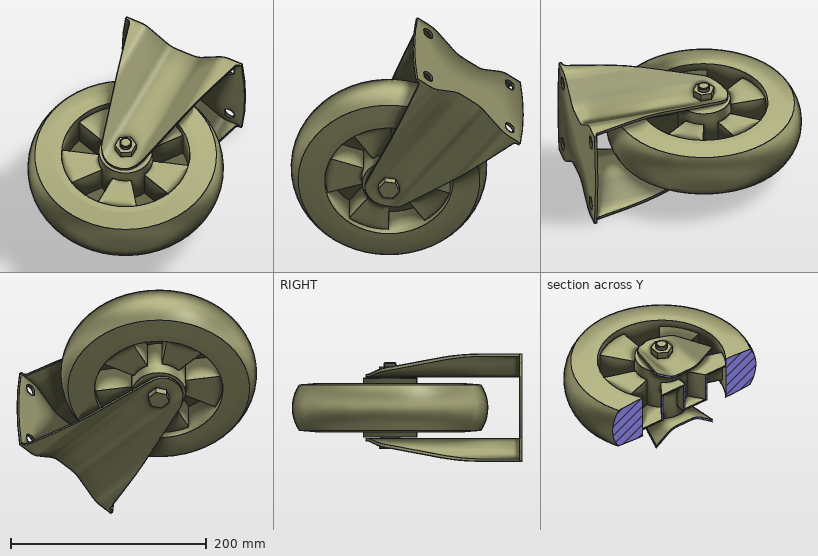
import cadquery as cq
import math


overall_length = 235.0

wheel_radius = 200.0 / 2
tread_half_width = 23.3
shoulder_radius = 92.8
rim_half_width = 25.0
rim_outer_radius = 72.8
rim_inner_radius = 131.0 / 2
hub_core_radius = 55.5 / 2
hub_end_radius = 27.3
hub_half_width = 30.0

sector_count = 10
web_half_height = 17.0
web_thickness = 2.0
web_blank_radius = (rim_inner_radius + rim_outer_radius) / 2

spacer_radius = 20.0 / 2
bolt_diameter = 12.0
bolt_top = 46.0
bolt_chamfer = 1.0
hex_across_flats = 19.0
hex_height = 7.5

sheet = 2.5
fork_depth = overall_length - wheel_radius
fork_half_height = 55.0
valley_height = 34.0
valley_half_width = 8.5
bend_radius = 20.5
bend_angle = math.radians(35)
arm_tip_radius = 24.7
arm_taper = math.radians(15)
arm_root_fillet = 4.0

plate_end_half_width = 66.0
plate_mid_half_width = 69.8
slot_spacing_x = 105.0
slot_spacing_z = 77.0
slot_width = 11.0
slot_length = 13.9


def make_web():
    """Disc folded into sectors that are open alternately to the top and to the bottom."""
    half_angle = math.radians(180 / sector_count)
    tip = web_thickness / 2 / math.sin(half_angle)
    spread = (rim_outer_radius - tip) * math.tan(half_angle)
    web = (
        cq.Workplane("XY")
        .circle(web_blank_radius)
        .extrude(web_half_height, both=True)
    )
    pocket = (
        cq.Workplane("XY")
        .workplane(offset=web_thickness - web_half_height)
        .polyline([(tip, 0), (rim_outer_radius, -spread), (rim_outer_radius, spread)])
        .close()
        .extrude(2 * web_half_height)
    )
    for i in range(sector_count):
        opens_up = i % 2 == 1
        turned = pocket if opens_up else pocket.mirror("XY")
        web = web.cut(turned.rotate((0, 0, 0), (0, 0, 1), i * 360 / sector_count))
    return web


def make_wheel():
    """Rim with crowned tread, folded web and tapered hub."""
    rim = (
        cq.Workplane("XZ")
        .moveTo(rim_inner_radius, -rim_half_width)
        .lineTo(rim_outer_radius, -rim_half_width)
        .lineTo(shoulder_radius, -tread_half_width)
        .threePointArc((wheel_radius, 0), (shoulder_radius, tread_half_width))
        .lineTo(rim_outer_radius, rim_half_width)
        .lineTo(rim_inner_radius, rim_half_width)
        .close()
        .revolve(360, (0, 0, 0), (0, 1, 0))
    )
    hub = (
        cq.Workplane("XZ")
        .moveTo(0, -hub_half_width)
        .lineTo(hub_end_radius, -hub_half_width)
        .lineTo(hub_core_radius, -web_half_height)
        .lineTo(hub_core_radius, web_half_height)
        .lineTo(hub_end_radius, hub_half_width)
        .lineTo(0, hub_half_width)
        .close()
        .revolve(360, (0, 0, 0), (0, 1, 0))
    )
    return make_web().union(hub).union(rim)


def crest_centre_x():
    """Where the outer bend runs out into the side flat."""
    rise = fork_half_height - valley_height
    bend_rise = 2 * bend_radius * (1 - math.cos(bend_angle))
    slope_run = (rise - bend_rise) / math.tan(bend_angle)
    return valley_half_width + 2 * bend_radius * math.sin(bend_angle) + slope_run


def fork_section(offset):
    """Right half of the upper sheet's profile, moved inwards from its outer face by `offset`.

    Returns (x, z) for the start, middle and end of the valley bend, then of the crest bend.
    """
    valley_bend = bend_radius + offset
    crest_bend = bend_radius - offset
    valley_z = valley_height - offset
    crest_z = fork_half_height - offset
    crest_x = crest_centre_x()

    def valley_point(angle):
        return (
            valley_half_width + valley_bend * math.sin(angle),
            valley_z + valley_bend * (1 - math.cos(angle)),
        )

    def crest_point(angle):
        return (
            crest_x - crest_bend * math.sin(angle),
            crest_z - crest_bend * (1 - math.cos(angle)),
        )

    return [
        valley_point(0),
        valley_point(bend_angle / 2),
        valley_point(bend_angle),
        crest_point(bend_angle),
        crest_point(bend_angle / 2),
        crest_point(0),
    ]


def trace_left_to_right(path, offset, end_x):
    """Continue `path` from -end_x to +end_x along the corrugated profile."""
    half = fork_section(offset)
    left = [(-x, z) for x, z in reversed(half)]
    for points in (left, half):
        path = (
            path.lineTo(*points[0])
            .threePointArc(points[1], points[2])
            .lineTo(*points[3])
            .threePointArc(points[4], points[5])
        )
    return path.lineTo(end_x, fork_half_height - offset)


def fill_under_profile(offset):
    """Block from the wheel's mid-plane up to the corrugated profile, straight along Y."""
    end_x = plate_end_half_width
    path = (
        cq.Workplane("XZ", origin=(0, fork_depth, 0))
        .moveTo(-end_x, 0)
        .lineTo(-end_x, fork_half_height - offset)
    )
    path = trace_left_to_right(path, offset, end_x).lineTo(end_x, 0)
    return path.close().extrude(fork_depth + arm_tip_radius)


def make_arm_outline():
    """Tapered arm with a round tip and a flared root, as a block along Z."""
    root_y = fork_depth - sheet
    tip_x = arm_tip_radius * math.cos(arm_taper)
    tip_y = -arm_tip_radius * math.sin(arm_taper)
    root_x = tip_x + (root_y - tip_y) * math.tan(arm_taper)
    outline = (
        cq.Workplane("XY")
        .moveTo(tip_x, tip_y)
        .lineTo(root_x, root_y)
        .lineTo(plate_end_half_width, root_y)
        .lineTo(plate_end_half_width, fork_depth)
        .lineTo(-plate_end_half_width, fork_depth)
        .lineTo(-plate_end_half_width, root_y)
        .lineTo(-root_x, root_y)
        .lineTo(-tip_x, tip_y)
        .threePointArc((0, -arm_tip_radius), (tip_x, tip_y))
        .close()
        .extrude(fork_half_height)
    )
    corner = cq.selectors.BoxSelector(
        (-root_x - sheet / 2, root_y - sheet / 2, 0),
        (root_x + sheet / 2, root_y + sheet / 2, fork_half_height),
    )
    return outline.edges("|Z").edges(corner).fillet(arm_root_fillet)


def make_plate(outer):
    """Slotted mounting plate: bowed sides, top and bottom edges following the sheet profile."""
    end = plate_end_half_width
    top = fork_half_height
    bowed = (
        cq.Workplane("XZ", origin=(0, fork_depth, 0))
        .moveTo(-end, -top)
        .lineTo(end, -top)
        .threePointArc((plate_mid_half_width, 0), (end, top))
        .lineTo(-end, top)
        .threePointArc((-plate_mid_half_width, 0), (-end, -top))
        .close()
        .extrude(sheet)
    )
    above = (
        cq.Workplane("XY")
        .box(2 * end, 2 * fork_depth, top, centered=(True, True, False))
        .cut(outer)
    )
    slots = (
        cq.Workplane("XZ", origin=(0, fork_depth, 0))
        .rect(slot_spacing_x, slot_spacing_z, forConstruction=True)
        .vertices()
        .slot2D(slot_length, slot_width, 90)
        .extrude(sheet)
    )
    return bowed.cut(above).cut(above.mirror("XY")).cut(slots)


def make_fork():
    """Mounting plate with one corrugated arm on each side of the wheel."""
    outer = fill_under_profile(0)
    arm = outer.cut(fill_under_profile(sheet)).intersect(make_arm_outline())
    return make_plate(outer).union(arm).union(arm.mirror("XY"))


def make_axle():
    """Spacer through the hub, bolt head below and nut with bolt end above."""
    spacer = (
        cq.Workplane("XY")
        .circle(spacer_radius)
        .extrude(valley_height - sheet / 2, both=True)
    )
    hexagon = (
        cq.Workplane("XY")
        .polygon(6, hex_across_flats, circumscribed=True)
        .extrude(hex_height)
    )
    nut = hexagon.translate((0, 0, valley_height))
    head = hexagon.translate((0, 0, -valley_height - hex_height))
    bolt = (
        cq.Workplane("XY")
        .circle(bolt_diameter / 2)
        .extrude(bolt_top)
        .faces(">Z")
        .chamfer(bolt_chamfer)
    )
    return spacer.union(nut).union(head).union(bolt)


result = make_wheel().union(make_axle()).union(make_fork())